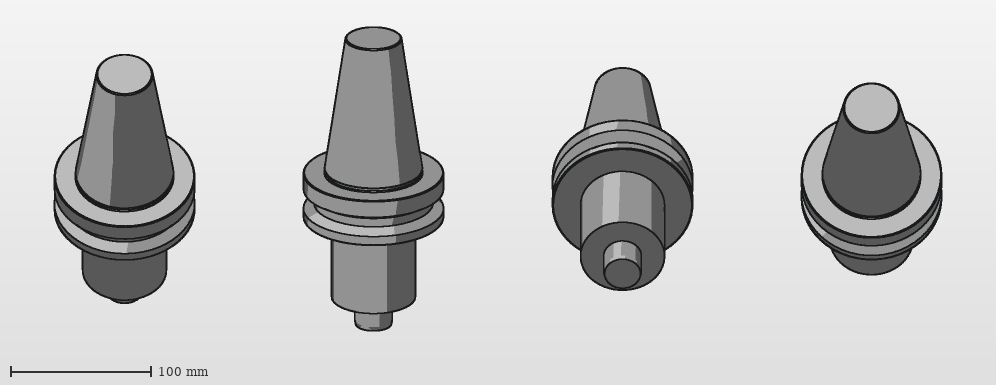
import cadquery as cq
import math

total_height = 222.8
body_bottom = 21.2
flange_bottom = 82.9
flange_height = 35.0
flange_top = flange_bottom + flange_height
neck_height = 3.3
taper_bottom = flange_top + neck_height

pin_radius = 27.0 / 2
pin_chamfer_width = 0.7
pin_chamfer_height = 3.3
body_radius = 60.0 / 2

flange_radius = 100.0 / 2
flange_chamfer = 0.7
groove_radius = 85.0 / 2
groove_floor_width = 6.5
groove_wall_angle = 30.0
upper_rim_height = 12.7
groove_wall_height = (flange_radius - groove_radius) * math.tan(math.radians(groove_wall_angle))
groove_top = flange_top - upper_rim_height
groove_floor_top = groove_top - groove_wall_height
groove_floor_bottom = groove_floor_top - groove_floor_width
groove_bottom = groove_floor_bottom - groove_wall_height

taper_ratio = 7 / 24
taper_base_radius = 70.0 / 2
taper_top_radius = taper_base_radius - (total_height - taper_bottom) * taper_ratio / 2
neck_chamfer = 0.7
neck_radius = taper_base_radius - neck_chamfer
neck_flare = 1.0
top_chamfer = 1.0

profile = [
    (0, 0),
    (pin_radius - pin_chamfer_width, 0),
    (pin_radius, pin_chamfer_height),
    (pin_radius, body_bottom),
    (body_radius, body_bottom),
    (body_radius, flange_bottom),
    (flange_radius - flange_chamfer, flange_bottom),
    (flange_radius, flange_bottom + flange_chamfer),
    (flange_radius, groove_bottom),
    (groove_radius, groove_floor_bottom),
    (groove_radius, groove_floor_top),
    (flange_radius, groove_top),
    (flange_radius, flange_top - flange_chamfer),
    (flange_radius - flange_chamfer, flange_top),
    (neck_radius + neck_flare, flange_top),
    (neck_radius, flange_top + neck_flare),
    (neck_radius, taper_bottom - neck_chamfer),
    (taper_base_radius, taper_bottom),
    (taper_top_radius, total_height - top_chamfer),
    (taper_top_radius - top_chamfer, total_height),
    (0, total_height),
]

result = cq.Workplane("XZ").polyline(profile).close().revolve(360, (0, 0, 0), (0, 1, 0))